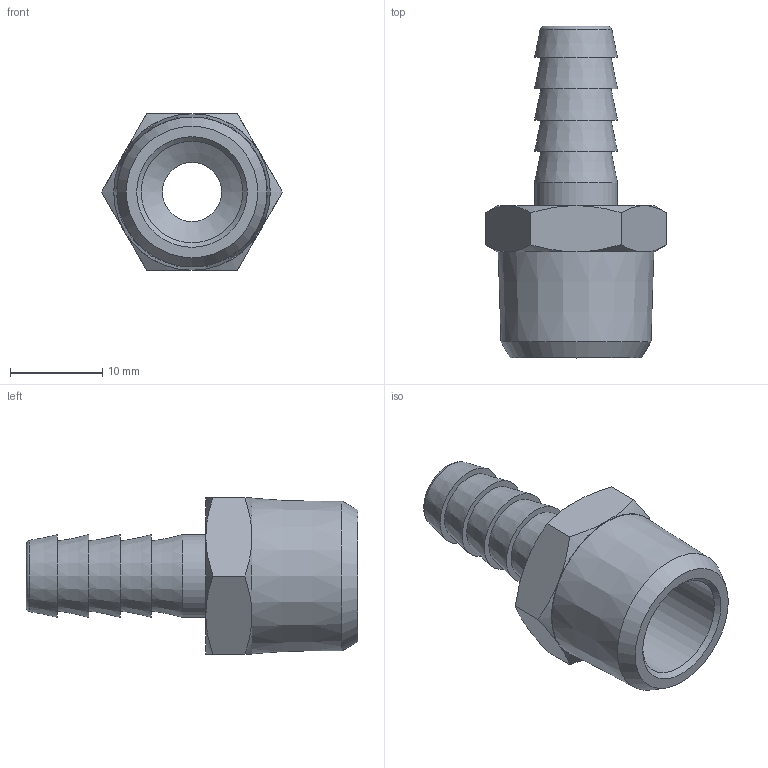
import cadquery as cq
import math


thread_length = 11.5
thread_root_radius = 8.44
taper_per_length = 1 / 32
lead_in_drop = 1.0
lead_in_angle = 30.0
lead_in_length = lead_in_drop / math.tan(math.radians(lead_in_angle))

hex_across_flats = 17.0
hex_side_count = 6
hex_length = 5.0
hex_chamfer_angle = 30.0

barb_count = 5
barb_pitch = 3.4
barb_crest_radius = 4.5
barb_root_radius = 3.8
collar_length = 2.5
tip_round = 0.5

hose_bore_radius = 3.2
thread_bore_radius = 5.5
thread_bore_depth = 13.0
drill_point_angle = 118.0
mouth_chamfer = 0.5

hex_start = thread_length
hex_end = hex_start + hex_length
collar_end = hex_end + collar_length
tail_end = collar_end + barb_count * barb_pitch


def revolve_about_y(profile):
    """Turn a closed (radius, Y) outline a full circle about the Y axis."""
    return profile.close().revolve(360, (0, 0, 0), (0, 1, 0))


def make_thread_stub():
    """Slightly tapered plug with a lead-in chamfer at its open end."""
    lead_in_radius = thread_root_radius - taper_per_length * (thread_length - lead_in_length)
    profile = (
        cq.Workplane("XY")
        .lineTo(lead_in_radius - lead_in_drop, 0)
        .lineTo(lead_in_radius, lead_in_length)
        .lineTo(thread_root_radius, thread_length)
        .lineTo(0, thread_length)
    )
    return revolve_about_y(profile)


def make_hexagon():
    """Hexagon with corners on the X axis, both ends turned to a cone."""
    flat_radius = hex_across_flats / 2
    corner_radius = flat_radius / math.cos(math.pi / hex_side_count)
    chamfer_length = (corner_radius - flat_radius) * math.tan(math.radians(hex_chamfer_angle))
    prism = (
        cq.Workplane("XZ", origin=(0, hex_start, 0))
        .polygon(hex_side_count, 2 * corner_radius)
        .extrude(-hex_length)
    )
    envelope = (
        cq.Workplane("XY")
        .moveTo(0, hex_start)
        .lineTo(flat_radius, hex_start)
        .lineTo(corner_radius, hex_start + chamfer_length)
        .lineTo(corner_radius, hex_end - chamfer_length)
        .lineTo(flat_radius, hex_end)
        .lineTo(0, hex_end)
    )
    return prism.intersect(revolve_about_y(envelope))


def make_hose_tail():
    """Plain collar followed by a row of barbs that narrow toward the tip."""
    profile = (
        cq.Workplane("XY")
        .moveTo(0, hex_end)
        .lineTo(barb_crest_radius, hex_end)
    )
    for index in range(barb_count):
        barb_start = collar_end + index * barb_pitch
        profile = profile.lineTo(barb_crest_radius, barb_start)
        profile = profile.lineTo(barb_root_radius, barb_start + barb_pitch)
    profile = profile.lineTo(0, tail_end)
    return revolve_about_y(profile).faces(">Y").edges().fillet(tip_round)


def make_bore():
    """Wide bore from the thread end, coned down to the hose bore."""
    cone_length = (thread_bore_radius - hose_bore_radius) / math.tan(math.radians(drill_point_angle / 2))
    profile = (
        cq.Workplane("XY")
        .lineTo(thread_bore_radius + mouth_chamfer, 0)
        .lineTo(thread_bore_radius, mouth_chamfer)
        .lineTo(thread_bore_radius, thread_bore_depth)
        .lineTo(hose_bore_radius, thread_bore_depth + cone_length)
        .lineTo(hose_bore_radius, tail_end)
        .lineTo(0, tail_end)
    )
    return revolve_about_y(profile)


result = make_thread_stub().union(make_hexagon()).union(make_hose_tail()).cut(make_bore())